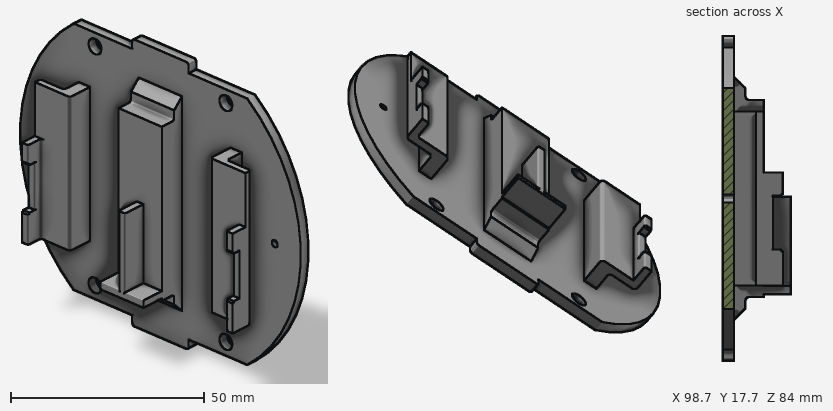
import cadquery as cq


plate_length = 98.7
plate_thickness = 3.0
flat_height = 77.9
flat_length = 61.0
tab_width = 19.9
tab_height = 84.0
tab_radius = 1.0

screw_hole_diameter = 4.4
screw_hole_x = 23.0
screw_hole_z = 34.9
pin_hole_diameter = 2.0
pin_hole_x = 40.2

block_width = 15.2
block_depth = 7.7
block_height = 50.9
foot_height = 62.8
foot_depth = 3.0
foot_radius = 1.0

shelf_reach = 14.7
shelf_top = -22.6
shelf_thickness = 2.2
rib_width = 2.3
rib_top = 0.5
edge_radius = 0.5

rail_height = 45.0
rail_inner_x = 24.7
rail_outer_x = 37.0
leg_thickness = 3.9
flange_thickness = 2.1
rail_radius = 1.0
lip_thickness = 2.2
lip_reach = 12.6
lip_top = 6.7
notch_top = 0.7
notch_bottom = -13.2
notch_floor = 10.1
left_lip_root_radius = 0.8


def box(x_range, y_range, z_range):
    """Box between two limits on each axis."""
    (x0, x1), (y0, y1), (z0, z1) = x_range, y_range, z_range
    return cq.Workplane("XY").box(x1 - x0, y1 - y0, z1 - z0, centered=False).translate((x0, y0, z0))


def make_plate():
    """Disc with straight top and bottom edges, a tab on each, and its holes."""
    x, z = flat_length / 2, flat_height / 2
    disc = (
        cq.Workplane("XZ")
        .moveTo(-x, z)
        .lineTo(x, z)
        .threePointArc((plate_length / 2, 0), (x, -z))
        .lineTo(-x, -z)
        .threePointArc((-plate_length / 2, 0), (-x, z))
        .close()
        .extrude(-plate_thickness)
    )
    disc = disc.edges("|Y").fillet(edge_radius)
    tabs = cq.Workplane("XZ").rect(tab_width, tab_height).extrude(-plate_thickness)
    tabs = tabs.edges("|Y").fillet(tab_radius)
    screw_holes = (
        cq.Workplane("XZ")
        .rect(2 * screw_hole_x, 2 * screw_hole_z, forConstruction=True)
        .vertices()
        .circle(screw_hole_diameter / 2)
        .extrude(-plate_thickness)
    )
    pin_holes = (
        cq.Workplane("XZ")
        .pushPoints([(-pin_hole_x, 0), (pin_hole_x, 0)])
        .circle(pin_hole_diameter / 2)
        .extrude(-plate_thickness)
    )
    return disc.union(tabs).cut(screw_holes).cut(pin_holes)


def make_block():
    """Centre block with a sloped foot at its top and bottom ends."""
    foot_end = foot_height / 2
    foot_shoulder = foot_end - foot_depth
    block_end = block_height / 2
    upper_half = (
        cq.Workplane("YZ")
        .moveTo(0, 0)
        .lineTo(0, foot_end)
        .lineTo(-foot_depth, foot_shoulder)
        .lineTo(-foot_depth, block_end + foot_radius)
        .radiusArc((-foot_depth - foot_radius, block_end), foot_radius)
        .lineTo(-block_depth, block_end)
        .lineTo(-block_depth, 0)
        .close()
        .extrude(block_width / 2, both=True)
    )
    return upper_half.union(upper_half.mirror("XY"))


def make_shelf():
    """Shelf across the block with a rounded upper front edge."""
    shelf = box(
        (-block_width / 2, block_width / 2),
        (-shelf_reach, 0),
        (shelf_top - shelf_thickness, shelf_top),
    )
    return shelf.edges("<Y and >Z").fillet(edge_radius)


def make_rib():
    """Upright rib on the shelf with both long front edges rounded."""
    rib = box(
        (-rib_width / 2, rib_width / 2),
        (-shelf_reach, 0),
        (shelf_top - shelf_thickness, rib_top),
    )
    return rib.edges("<Y and |Z").fillet(edge_radius)


def nearest_to(x, y, z):
    """Selector for the edge whose centre is nearest to a point."""
    return cq.selectors.NearestToPointSelector((x, y, z))


def make_notch():
    """Cutter for the lip notch, flared so that the corners at the lip's front edge are round."""
    round_start = edge_radius - lip_reach
    return (
        cq.Workplane("YZ", origin=(rail_outer_x - lip_thickness, 0, 0))
        .moveTo(-notch_floor, notch_top)
        .lineTo(round_start, notch_top)
        .radiusArc((-lip_reach, notch_top + edge_radius), -edge_radius)
        .lineTo(-lip_reach, notch_bottom - edge_radius)
        .radiusArc((round_start, notch_bottom), -edge_radius)
        .lineTo(-notch_floor, notch_bottom)
        .close()
        .extrude(lip_thickness)
    )


def make_rail(lip_root_radius=0):
    """Right-hand rail with a notched lip; a root radius fills the corner behind the lip."""
    half_height = rail_height / 2
    z_range = (-half_height, half_height)
    flange_back = flange_thickness - block_depth
    leg_outer_x = rail_inner_x + leg_thickness
    leg = box((rail_inner_x, leg_outer_x), (-block_depth, 0), z_range)
    flange = box((rail_inner_x, rail_outer_x), (-block_depth, flange_back), z_range)
    rail = leg.union(flange)
    corners = [
        (rail_inner_x, -block_depth),
        (leg_outer_x, flange_back),
        (rail_outer_x, flange_back),
    ]
    for x, y in corners:
        rail = rail.edges(nearest_to(x, y, 0)).fillet(rail_radius)

    lip_inner_x = rail_outer_x - lip_thickness
    lip = box((lip_inner_x, rail_outer_x), (-lip_reach, -block_depth), (-half_height, lip_top))
    lip = lip.edges("<Y and <X").fillet(edge_radius)
    lip = lip.cut(make_notch())
    notch_middle = (notch_top + notch_bottom) / 2
    lip = lip.edges(nearest_to(lip_inner_x, -notch_floor, notch_middle)).fillet(edge_radius)

    rail = rail.union(lip)
    if lip_root_radius:
        root_middle = (lip_top - half_height) / 2
        rail = rail.edges(nearest_to(lip_inner_x, -block_depth, root_middle)).fillet(lip_root_radius)
    return rail


result = make_plate().union(make_block()).union(make_shelf()).union(make_rib())
result = result.union(make_rail())
result = result.union(make_rail(left_lip_root_radius).mirror("YZ"))